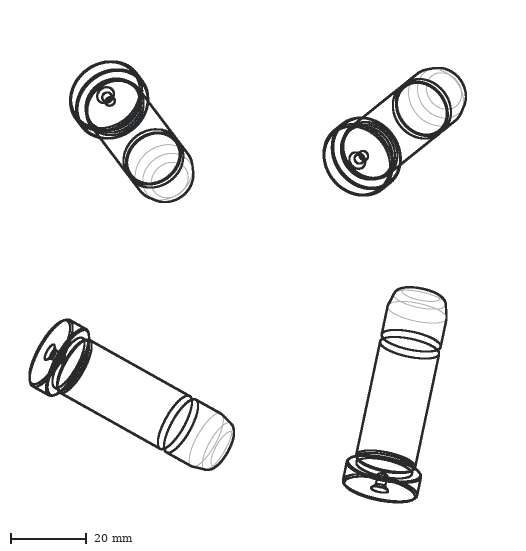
import cadquery as cq
import math

length = 55.0
tip_start = 50.0

head_radius = 10.0
head_length = 6.0
head_front_chamfer = 0.5
head_back_chamfer = 0.3

body_radius = 8.0
body_start = 8.0
neck_depth = 0.5
neck_radius = body_radius - neck_depth

groove_start = 40.0
groove_width = 2.0
groove_depth = 0.65
groove_end = groove_start + groove_width
groove_middle = groove_start + groove_width / 2

tip_angle = math.radians(15)
tip_round = 2.0

hole_radius = 1.25
hole_depth = 4.0
countersink_radius = 2.3
countersink_depth = countersink_radius - hole_radius
drill_point_half_angle = math.radians(59)


def tip_round_points():
    """Start, middle and end of the arc tangent to both the taper and the end face."""
    center_x = length - tip_round
    start_x = center_x + tip_round * math.sin(tip_angle)
    start_r = body_radius - (start_x - tip_start) * math.tan(tip_angle)
    center_r = start_r - tip_round * math.cos(tip_angle)
    middle_angle = (math.pi / 2 - tip_angle) / 2
    middle = (
        center_x + tip_round * math.cos(middle_angle),
        center_r + tip_round * math.sin(middle_angle),
    )
    return (start_x, start_r), middle, (length, center_r)


def revolve_about_x(profile):
    return profile.close().revolve(360, (0, 0, 0), (1, 0, 0))


def make_pin():
    round_start, round_middle, round_end = tip_round_points()
    profile = (
        cq.Workplane("XY")
        .lineTo(0, head_radius - head_front_chamfer)
        .lineTo(head_front_chamfer, head_radius)
        .lineTo(head_length - head_back_chamfer, head_radius)
        .lineTo(head_length, head_radius - head_back_chamfer)
        .lineTo(head_length, neck_radius)
        .lineTo(body_start - neck_depth, neck_radius)
        .lineTo(body_start, body_radius)
        .lineTo(groove_start, body_radius)
        .threePointArc((groove_middle, body_radius - groove_depth), (groove_end, body_radius))
        .lineTo(tip_start, body_radius)
        .lineTo(*round_start)
        .threePointArc(round_middle, round_end)
        .lineTo(length, 0)
    )
    return revolve_about_x(profile)


def make_center_hole():
    drill_point_length = hole_radius / math.tan(drill_point_half_angle)
    profile = (
        cq.Workplane("XY")
        .lineTo(0, countersink_radius)
        .lineTo(countersink_depth, hole_radius)
        .lineTo(hole_depth, hole_radius)
        .lineTo(hole_depth + drill_point_length, 0)
    )
    return revolve_about_x(profile)


result = make_pin().cut(make_center_hole())